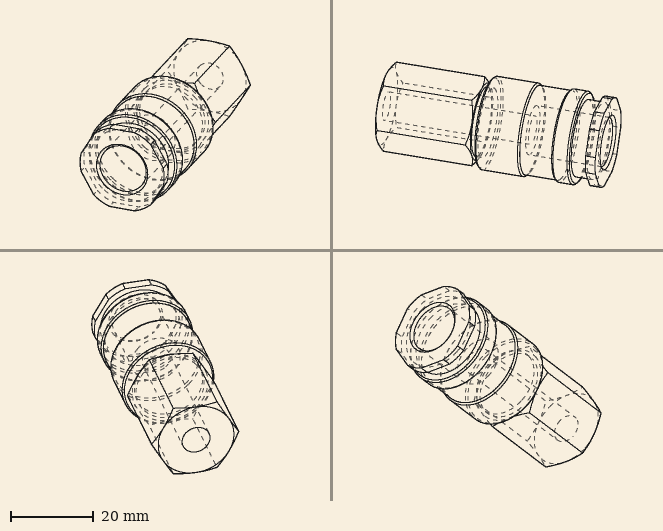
import cadquery as cq
import math

total_length = 56.0

sleeve_diameter = 23.0
body_diameter = 22.05
front_neck_diameter = 19.05
hex_neck_diameter = 17.15
socket_diameter = 12.1
socket_mouth_diameter = 13.45
passage_diameter = 7.0

hex_across_flats = 19.0
collar_across_flats = 21.05

collar_end = 2.45
ring_start = 6.5
ring_end = 11.0
sleeve_start = 19.05
sleeve_end = 30.4
hex_start = 32.0
socket_depth = 19.05

edge_chamfer = 0.45
hex_chamfer_angle = 30.0
overlap = 0.55


def moved_along_y(solid, start):
    """Turn a solid standing on the XY plane to point along +Y from start."""
    return solid.rotate((0, 0, 0), (1, 0, 0), -90).translate((0, start, 0))


def cylinder(diameter, start, end):
    return moved_along_y(cq.Workplane("XY").circle(diameter / 2).extrude(end - start), start)


def chamfered_ring(diameter, start, end):
    return cylinder(diameter, start, end).edges("%CIRCLE").chamfer(edge_chamfer)


def hex_prism(across_flats, start, end):
    """Hexagonal bar with two flats facing +Z and -Z."""
    across_corners = across_flats / math.cos(math.radians(30))
    bar = cq.Workplane("XY").polygon(6, across_corners).extrude(end - start)
    return moved_along_y(bar, start)


def flatted_collar():
    """Round collar cut by six wrench flats."""
    disc = cylinder(body_diameter, 0, collar_end)
    return disc.intersect(hex_prism(collar_across_flats, 0, collar_end))


def chamfered_hex():
    """Hexagon whose corners are coned at both ends down to the flats."""
    bar = hex_prism(hex_across_flats, hex_start, total_length)
    inner_radius = hex_across_flats / 2
    outer_radius = inner_radius / math.cos(math.radians(30))
    cone_length = (outer_radius - inner_radius) * math.tan(math.radians(hex_chamfer_angle))
    envelope = (
        cq.Workplane("XY")
        .polyline([
            (0, hex_start),
            (inner_radius, hex_start),
            (outer_radius, hex_start + cone_length),
            (outer_radius, total_length - cone_length),
            (inner_radius, total_length),
            (0, total_length),
        ])
        .close()
        .revolve(360, (0, 0, 0), (0, 1, 0))
    )
    return bar.intersect(envelope)


def bore():
    """Stepped bore: coned mouth, socket and a passage through the whole part."""
    mouth_radius = socket_mouth_diameter / 2
    socket_radius = socket_diameter / 2
    passage_radius = passage_diameter / 2
    mouth_depth = mouth_radius - socket_radius
    return (
        cq.Workplane("XY")
        .polyline([
            (0, 0),
            (mouth_radius, 0),
            (socket_radius, mouth_depth),
            (socket_radius, socket_depth),
            (passage_radius, socket_depth),
            (passage_radius, total_length),
            (0, total_length),
        ])
        .close()
        .revolve(360, (0, 0, 0), (0, 1, 0))
    )


result = (
    flatted_collar()
    .union(cylinder(front_neck_diameter, collar_end - overlap, ring_start + overlap))
    .union(chamfered_ring(sleeve_diameter, ring_start, ring_end))
    .union(cylinder(body_diameter, ring_end - overlap, sleeve_start + overlap))
    .union(chamfered_ring(sleeve_diameter, sleeve_start, sleeve_end))
    .union(cylinder(hex_neck_diameter, sleeve_end - overlap, hex_start + overlap))
    .union(chamfered_hex())
    .cut(bore())
)